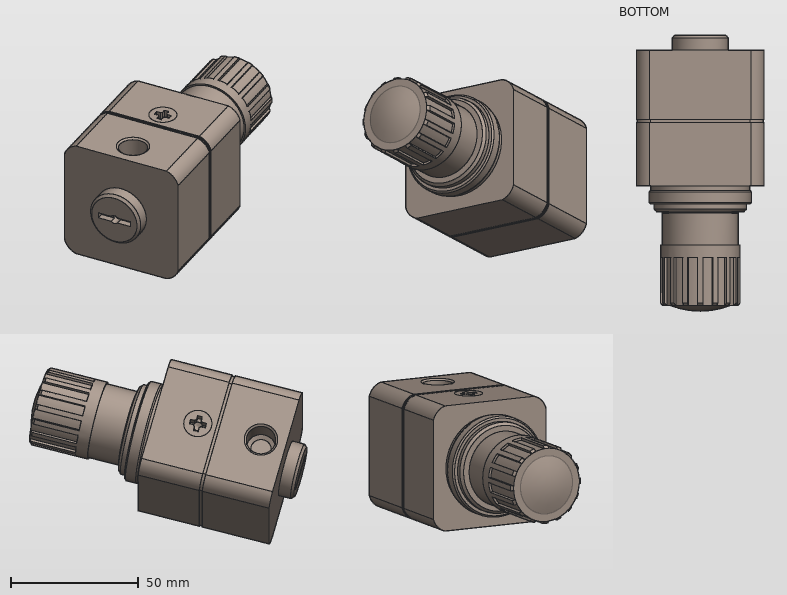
import cadquery as cq
import math


block_front = 5.9
port_y = 16.0
groove_front = 33.0
groove_rear = 34.2
screw_y = 41.6
block_rear = 59.0
ring_front = 60.7
ring_rear = 66.1
bonnet_rear = 69.1
neck_front = 69.7
grip_front = 82.1
rib_front = 86.9
grip_rear = 105.8
knob_tip = 108.0

block_width = 50.0
corner_setback = 5.2
corner_radius = 7.6
groove_depth = 0.3

collar_radius = 19.4
ring_radius = 20.1
ring_chamfer_length = 0.6
bonnet_radius = 18.1
bonnet_chamfer = 1.1

port_diameter = 11.5
port_mouth_diameter = 13.1
port_mouth_depth = 0.6
port_end_diameter = 8.0
port_straight_depth = 9.7
port_cone_depth = 1.0

screw_diameter = 11.0
screw_length = 5.4
cross_span = 6.4
cross_width = 1.8
cross_depth = 3.2
cross_centre_diameter = 3.6
cross_centre_cone = 1.1

plug_diameter = 22.0
plug_chamfer = 1.1
slot_length = 14.0
slot_width = 2.3
slot_depth = 2.7
slot_centre_diameter = 3.6
slot_centre_depth = 3.8

stem_radius = 12.3
neck_radius = 14.9
grip_radius = 15.5
rib_count = 16
rib_width = 2.0
rib_height = 1.0
dome_radius = 11.6

top_face = block_width / 2


def turned(points):
    """Solid of revolution about Y from (radius, Y) points, closed along the axis."""
    return cq.Workplane("XY").polyline(points).close().revolve(360, (0, 0, 0), (0, 1, 0))


def square_section(width, setback, radius, y_start, y_end):
    """Square bar along Y whose corners are shallow arcs that meet the flats at a slight crease."""
    half = width / 2
    flat = half - setback
    chord = setback * math.sqrt(2)
    sagitta = radius - math.sqrt(radius**2 - (chord / 2) ** 2)
    bulge = half - setback / 2 + sagitta / math.sqrt(2)
    outline = (
        cq.Workplane("XZ", origin=(0, y_start, 0))
        .moveTo(-flat, half)
        .lineTo(flat, half)
        .threePointArc((bulge, bulge), (half, flat))
        .lineTo(half, -flat)
        .threePointArc((bulge, -bulge), (flat, -half))
        .lineTo(-flat, -half)
        .threePointArc((-bulge, -bulge), (-half, -flat))
        .lineTo(-half, flat)
        .threePointArc((-bulge, bulge), (-flat, half))
        .close()
    )
    return outline.extrude(y_start - y_end)


def make_bonnet():
    """Stepped round bonnet: collar, wide ring and narrower rear collar."""
    return turned([
        (0, block_rear),
        (collar_radius, block_rear),
        (collar_radius, ring_front),
        (ring_radius, ring_front + ring_chamfer_length),
        (ring_radius, ring_rear - ring_chamfer_length),
        (collar_radius, ring_rear),
        (bonnet_radius, ring_rear),
        (bonnet_radius, bonnet_rear - bonnet_chamfer),
        (bonnet_radius - bonnet_chamfer, bonnet_rear),
        (0, bonnet_rear),
    ])


def make_port():
    """Port hole with a flared mouth and a short cone at its flat end."""
    straight_end = top_face - port_straight_depth
    profile = [
        (0, top_face),
        (port_mouth_diameter / 2, top_face),
        (port_diameter / 2, top_face - port_mouth_depth),
        (port_diameter / 2, straight_end),
        (port_end_diameter / 2, straight_end - port_cone_depth),
        (0, straight_end - port_cone_depth),
    ]
    hole = cq.Workplane("XZ").polyline(profile).close().revolve(360, (0, 0, 0), (0, 1, 0))
    return hole.translate((0, port_y, 0))


def make_screw_blank():
    """Plain cylinder that fills the screw seat, flush with the top face."""
    top_plane = cq.Workplane("XY", origin=(0, screw_y, top_face))
    return top_plane.circle(screw_diameter / 2).extrude(-screw_length)


def make_housing():
    """Block with a shallow groove around it, the bonnet, the port and the screw seat."""
    front_part = square_section(block_width, corner_setback, corner_radius, block_front, groove_front)
    rear_part = square_section(block_width, corner_setback, corner_radius, groove_rear, block_rear)
    waist = square_section(
        block_width - 2 * groove_depth, corner_setback, corner_radius, groove_front, groove_rear
    )
    block = front_part.union(waist).union(rear_part).union(make_bonnet())
    return block.cut(make_port()).cut(make_screw_blank())


def make_screw():
    """Flush screw with a cross recess around a cone-ended centre hole."""
    top_plane = cq.Workplane("XY", origin=(0, screw_y, top_face))
    long_arm = top_plane.rect(cross_span, cross_width).extrude(-cross_depth)
    cross_arm = top_plane.rect(cross_width, cross_span).extrude(-cross_depth)
    profile = [
        (0, 0),
        (cross_centre_diameter / 2, 0),
        (cross_centre_diameter / 2, -cross_depth),
        (0, -cross_depth - cross_centre_cone),
    ]
    centre = cq.Workplane("XZ").polyline(profile).close().revolve(360, (0, 0, 0), (0, 1, 0))
    centre = centre.translate((0, screw_y, top_face))
    return make_screw_blank().cut(long_arm).cut(cross_arm).cut(centre)


def make_plug():
    """Chamfered round plug on the front face, with a slot and a deeper centre hole."""
    radius = plug_diameter / 2
    plug = turned([
        (0, 0),
        (radius - plug_chamfer, 0),
        (radius, plug_chamfer),
        (radius, block_front),
        (0, block_front),
    ])
    slot = cq.Workplane("XZ").rect(slot_length, slot_width).extrude(-slot_depth)
    centre = cq.Workplane("XZ").circle(slot_centre_diameter / 2).extrude(-slot_centre_depth)
    return plug.cut(slot).cut(centre)


def make_knob():
    """Knob with a short stem on the bonnet, a plain neck, a ribbed grip and a domed end."""
    floor_radius = grip_radius - rib_height
    dome_height = knob_tip - grip_rear
    sphere_radius = (dome_radius**2 + dome_height**2) / (2 * dome_height)
    half_angle = math.asin(dome_radius / sphere_radius) / 2
    dome_middle = (
        sphere_radius * math.sin(half_angle),
        knob_tip - sphere_radius * (1 - math.cos(half_angle)),
    )
    core = (
        cq.Workplane("XY")
        .moveTo(0, bonnet_rear)
        .lineTo(stem_radius, bonnet_rear)
        .lineTo(stem_radius, neck_front)
        .lineTo(neck_radius, neck_front)
        .lineTo(neck_radius, grip_front)
        .lineTo(grip_radius, grip_front)
        .lineTo(grip_radius, rib_front)
        .lineTo(floor_radius, rib_front)
        .lineTo(floor_radius, grip_rear)
        .lineTo(dome_radius, grip_rear)
        .threePointArc(dome_middle, (0, knob_tip))
        .close()
        .revolve(360, (0, 0, 0), (0, 1, 0))
    )
    grip = turned([
        (0, rib_front),
        (grip_radius, rib_front),
        (grip_radius, grip_rear - rib_height),
        (floor_radius, grip_rear),
        (0, grip_rear),
    ])
    rib_plane = cq.Workplane("XZ", origin=(0, rib_front, 0))
    bar = rib_plane.rect(block_width, rib_width).extrude(rib_front - grip_rear)
    for index in range(rib_count // 2):
        turned_bar = bar.rotate((0, 0, 0), (0, 1, 0), index * 360 / rib_count)
        core = core.union(grip.intersect(turned_bar))
    return core


housing = make_housing()
screw = make_screw()
plug = make_plug()
knob = make_knob()

result = cq.Compound.makeCompound([housing.val(), screw.val(), plug.val(), knob.val()])